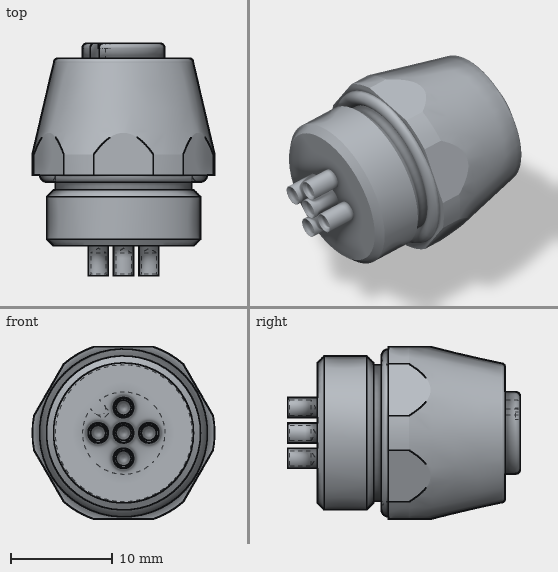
import cadquery as cq
import math

total_length = 22.95

pin_diameter = 2.0
pin_pitch = 2.5
pin_length = 2.94
cup_diameter = 1.5
cup_depth = 2.3
cup_tip_angle = 118.0
cup_mouth_chamfer = 0.18

rear_diameter = 15.2
rear_length = 5.53
rear_chamfer = 0.69
neck_diameter = 13.5
neck_length = 1.47

seal_diameter = 16.57
seal_protrusion = 0.7

nut_sides = 6
nut_corner_diameter = 18.0
nut_across_flats = 17.0
nut_band_length = 2.05
nut_length = 11.52
nut_front_diameter = 13.77
nut_front_round = 0.41

plug_diameter = 8.12
plug_edge_round = 0.5

key_tilt = 45.0
key_width = 1.25
key_round_centre = 3.4
key_notch_width = 1.0
key_notch_floor = 2.43
key_notch_length = plug_edge_round

rear_start = pin_length
rear_end = rear_start + rear_length
nut_start = rear_end + neck_length
nut_band_end = nut_start + nut_band_length
nut_end = nut_start + nut_length
plug_length = total_length - nut_end


def cylinder(diameter, start, length):
    """Round bar along +Y, beginning at the given station."""
    plane = cq.Workplane("XZ", origin=(0, start, 0))
    return plane.circle(diameter / 2).extrude(-length)


def rear_body():
    drum = cylinder(rear_diameter, rear_start, rear_length).edges().chamfer(rear_chamfer)
    neck = cylinder(neck_diameter, rear_end, neck_length)
    return drum.union(neck)


def seal_ring():
    """O-ring seated on the neck and about half sunk into the rear face of the nut."""
    section_radius = (seal_diameter - neck_diameter) / 4
    ring_radius = seal_diameter / 2 - section_radius
    ring_station = nut_start - seal_protrusion + section_radius
    return (
        cq.Workplane("XY")
        .center(ring_radius, ring_station)
        .circle(section_radius)
        .revolve(360, (-ring_radius, 0, 0), (-ring_radius, 1, 0))
    )


def coupling_nut():
    """Flared shell cut by a hexagonal prism whose corners point along X."""
    corner_radius = nut_corner_diameter / 2
    front_radius = nut_front_diameter / 2
    flare_end = nut_end - nut_front_round
    shell = (
        cq.Workplane("XY")
        .moveTo(0, nut_start)
        .lineTo(corner_radius, nut_start)
        .lineTo(corner_radius, nut_band_end)
        .lineTo(front_radius, flare_end)
        .radiusArc((front_radius - nut_front_round, nut_end), -nut_front_round)
        .lineTo(0, nut_end)
        .close()
        .revolve(360, (0, 0, 0), (0, 1, 0))
    )
    hexagon_diameter = nut_across_flats / math.cos(math.pi / nut_sides)
    hexagon = (
        cq.Workplane("XZ", origin=(0, nut_start, 0))
        .polygon(nut_sides, hexagon_diameter)
        .extrude(-nut_length)
    )
    return shell.intersect(hexagon)


def key_bar(width, inner_reach, start, length):
    """Radial bar lying between the -X and +Z axes, from inner_reach out past the plug surface."""
    bar_height = plug_diameter - inner_reach
    bar = cq.Workplane("XY").box(width, length, bar_height, centered=(True, False, False))
    return bar.translate((0, start, inner_reach)).rotate((0, 0, 0), (0, 1, 0), -key_tilt)


def plug():
    """Front spigot with a round-bottomed keyway and a square notch in its mouth."""
    spigot = cylinder(plug_diameter, nut_end, plug_length).faces(">Y").edges().fillet(plug_edge_round)
    keyway = key_bar(key_width, key_round_centre, nut_end, plug_length)
    keyway_round = (
        cylinder(key_width, nut_end, plug_length)
        .translate((0, 0, key_round_centre))
        .rotate((0, 0, 0), (0, 1, 0), -key_tilt)
    )
    notch = key_bar(key_notch_width, key_notch_floor, total_length - key_notch_length, key_notch_length)
    return spigot.cut(keyway).cut(keyway_round).cut(notch)


def solder_cup():
    """Pin with a drilled end: chamfered mouth, straight bore and conical tip."""
    bore_radius = cup_diameter / 2
    tip_length = bore_radius / math.tan(math.radians(cup_tip_angle / 2))
    bore = (
        cq.Workplane("XY")
        .lineTo(bore_radius + cup_mouth_chamfer, 0)
        .lineTo(bore_radius, cup_mouth_chamfer)
        .lineTo(bore_radius, cup_depth)
        .lineTo(0, cup_depth + tip_length)
        .close()
        .revolve(360, (0, 0, 0), (0, 1, 0))
    )
    return cylinder(pin_diameter, 0, pin_length).cut(bore)


result = rear_body().union(coupling_nut()).union(seal_ring()).union(plug())

pin_centres = [(0, 0), (pin_pitch, 0), (-pin_pitch, 0), (0, pin_pitch), (0, -pin_pitch)]
for x, z in pin_centres:
    result = result.union(solder_cup().translate((x, 0, z)))